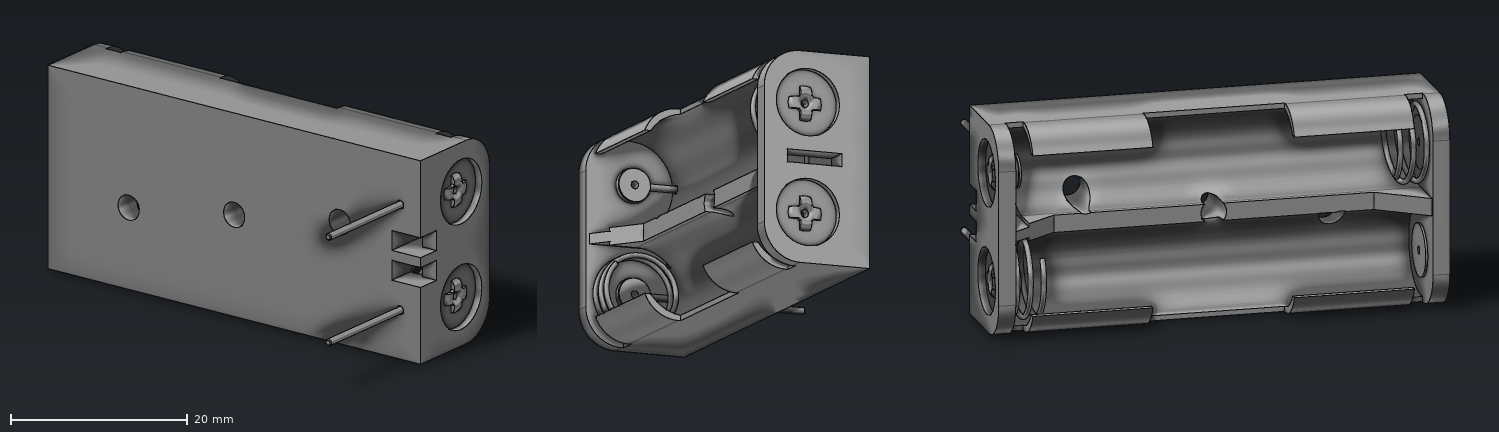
import cadquery as cq
import math


length = 52.98
depth = 13.04
width = 24.59
corner_radius = 4.4
end_wall = 2.0
wall_top = 8.35
half_length = length / 2
half_width = width / 2
bay_half_length = half_length - end_wall

cell_radius = 5.35
cell_y = 7.65
cell_z = 6.37
rib_half = cell_z - cell_radius
cell_signs = (1, -1)

claw_inner_x = 8.3
claw_outer_x = 22.4
claw_top = 12.75
corner_y = depth - corner_radius
corner_z = half_width - corner_radius
claw_tip_z = corner_z + math.sqrt(corner_radius**2 - (claw_top - corner_y)**2)

gusset_top = 12.6
gusset_length = 5.7

mount_hole_dia = 3.0
mount_hole_spacing = 15.0
mount_hole_z_step = 2.4
window_near_z = 0.6
window_far_z = 3.0
notch_depth = 3.0
slot_low_y = 3.45
slot_high_y = 10.2
slot_height = 1.5
slot_depth = 3.0
slot_bar_y = 6.5
slot_bar_radius = 0.28

recess_dia = 7.8
recess_depth = 0.9
shank_dia = 1.78
eyelet_hole_dia = 0.9
roll_mid_dia = 2.5
roll_radius = (roll_mid_dia - eyelet_hole_dia) / 2
roll_height = 0.5
roll_reach = roll_mid_dia / 2 + roll_radius
petal_width = 1.35
petal_root_radius = 1.15
flange_thickness = 0.25
spring_flange_radius = 3.1
pin_flange_radius = 1.95

pin_dia = 0.81
pin_hole_dia = 1.02
pin_x = 23.57
pin_reach = 13.58
pin_tip_chamfer = 0.12
pin_loop_mid_radius = 1.64

spring_wire_dia = 0.6
spring_mid_radius = 4.38
spring_pitch = 1.55
spring_base = 2.42
spring_start = 0.12
spring_end = 2.62
spring_riser_turn = 0.84
points_per_turn = 20


def block(x_range, y_range, z_range):
    """Box given by its limits along each axis."""
    lows, highs = zip(x_range, y_range, z_range)
    sizes = [high - low for low, high in zip(lows, highs)]
    return cq.Workplane("XY").box(*sizes, centered=False).translate(lows)


def rod(start_x, end_x, radius, y, z):
    """Cylinder parallel to X."""
    return cq.Workplane("YZ", origin=(start_x, y, z)).circle(radius).extrude(end_x - start_x)


def drill(x, z, diameter, y_end):
    """Cylinder from the mounting face to y_end."""
    return cq.Workplane("XZ", origin=(x, 0, z)).circle(diameter / 2).extrude(-y_end)


def shell_blank():
    body = block((-half_length, half_length), (0, depth), (-half_width, half_width))
    return body.edges("|X and >Y").fillet(corner_radius)


def cut_cell_bays(body):
    """Round beds with an open mouth, leaving claws that curl over the cells."""
    bay = (-bay_half_length, bay_half_length)
    for sign in cell_signs:
        body = body.cut(rod(*bay, cell_radius, cell_y, sign * cell_z))
        mouth_z = sorted((sign * rib_half, sign * claw_tip_z))
        body = body.cut(block(bay, (cell_y, depth), mouth_z))
    body = body.cut(block(bay, (wall_top, depth), (-rib_half, rib_half)))

    full_width = (-half_width, half_width)
    above_wall = (wall_top, depth)
    body = body.cut(block((-claw_inner_x, claw_inner_x), above_wall, full_width))
    body = body.cut(block((claw_outer_x, bay_half_length), above_wall, full_width))
    return body.cut(block((-bay_half_length, -claw_outer_x), above_wall, full_width))


def gusset(sign):
    wall_x = sign * bay_half_length
    foot_x = sign * (bay_half_length - gusset_length)
    outline = [(wall_x, wall_top), (wall_x, gusset_top), (foot_x, wall_top)]
    return cq.Workplane("XY", origin=(0, 0, -rib_half)).polyline(outline).close().extrude(2 * rib_half)


def cut_windows(body):
    """Pair of windows beside the rib, running out through the +X end wall as notches."""
    for sign in cell_signs:
        z_range = sorted((sign * window_near_z, sign * window_far_z))
        body = body.cut(block((claw_outer_x, bay_half_length), (0, depth), z_range))
        body = body.cut(block((bay_half_length, half_length), (0, notch_depth), z_range))
    return body


def cut_end_slot(body):
    """Slot in the -X end with a half-round bar across its floor."""
    floor_x = -half_length + slot_depth
    z_range = (-slot_height / 2, slot_height / 2)
    slot = block((-half_length, floor_x), (slot_low_y, slot_high_y), z_range)
    bar = cq.Workplane("XY", origin=(floor_x, slot_bar_y, -slot_height / 2))
    return body.cut(slot.cut(bar.circle(slot_bar_radius).extrude(slot_height)))


def make_housing():
    body = cut_cell_bays(shell_blank())
    body = body.union(gusset(1)).union(gusset(-1))
    body = cut_end_slot(cut_windows(body))
    for step in (-1, 0, 1):
        body = body.cut(drill(step * mount_hole_spacing, step * mount_hole_z_step, mount_hole_dia, depth))
    for sign in cell_signs:
        z = sign * cell_z
        body = body.cut(drill(pin_x, z, pin_hole_dia, cell_y))
        body = body.cut(rod(-half_length, half_length, shank_dia / 2, cell_y, z))
        body = body.cut(rod(-half_length, -half_length + recess_depth, recess_dia / 2, cell_y, z))
        body = body.cut(rod(half_length - recess_depth, half_length, recess_dia / 2, cell_y, z))
    return body


def make_rivet(flange_radius, flange_start):
    """Hollow rivet on the X axis: outer end face at X = 0, shank toward +X, flange at flange_start."""
    flange_end = flange_start + flange_thickness
    roll = cq.Workplane("XY").moveTo(recess_depth, roll_mid_dia / 2 - roll_radius)
    roll = roll.threePointArc((recess_depth - roll_height, roll_mid_dia / 2), (recess_depth, roll_reach))
    roll = roll.close().revolve(360, (0, 0, 0), (1, 0, 0))

    petals = rod(0, recess_depth, petal_root_radius, 0, 0)
    arm = cq.Workplane("YZ").rect(2 * recess_dia, petal_width).extrude(recess_depth)
    petals = petals.union(arm).union(arm.rotate((0, 0, 0), (1, 0, 0), 90))

    rivet = roll.intersect(petals)
    rivet = rivet.union(rod(recess_depth, flange_end, shank_dia / 2, 0, 0))
    rivet = rivet.union(rod(flange_start, flange_end, flange_radius, 0, 0))
    return rivet.cut(rod(0, flange_end, eyelet_hole_dia / 2, 0, 0))


def make_pin(z):
    """Straight wire leg ending in a loop around the rivet shank."""
    loop_bottom = cell_y - pin_loop_mid_radius
    leg = cq.Workplane("XZ", origin=(pin_x, -pin_reach, z)).circle(pin_dia / 2)
    leg = leg.extrude(-(pin_reach + loop_bottom)).faces("<Y").chamfer(pin_tip_chamfer)
    loop = cq.Solid.makeTorus(
        pin_loop_mid_radius, pin_dia / 2, cq.Vector(pin_x, cell_y, z), cq.Vector(1, 0, 0)
    )
    return leg.union(cq.Workplane(obj=loop))


def spring_point(turn):
    """Wire centre on a coil about the X axis whose turns lie nearly flat between steps."""
    angle = 2 * math.pi * turn
    phase = turn - spring_riser_turn + 0.5
    rise = phase - math.sin(2 * math.pi * phase) / (2 * math.pi)
    return (
        spring_base + spring_pitch * rise,
        -spring_mid_radius * math.cos(angle),
        spring_mid_radius * math.sin(angle),
    )


def make_spring():
    """Coil spring with the outer end face of the holder at X = 0."""
    steps = round((spring_end - spring_start) * points_per_turn)
    turns = [spring_start + index / points_per_turn for index in range(steps + 1)]
    path = cq.Workplane("XY").spline([spring_point(turn) for turn in turns])
    start = path.val().startPoint()
    plane = cq.Plane(origin=start.toTuple(), normal=path.val().tangentAt(0).toTuple())
    return cq.Workplane(plane).circle(spring_wire_dia / 2).sweep(path, isFrenet=True)


def place(body, end, z):
    """Move a body modelled from X = 0 to one end of a cell; end is -1 for -X and 1 for +X."""
    if end > 0:
        body = body.rotate((0, 0, 0), (0, 1, 0), 180)
    return body.translate((end * half_length, cell_y, z))


housing = make_housing()
rivet_layouts = (
    (-1, spring_flange_radius, end_wall),
    (1, pin_flange_radius, half_length - pin_x + pin_dia / 2),
)
rivets = []
pins = []
springs = []
for sign in cell_signs:
    for end, flange_radius, flange_start in rivet_layouts:
        rivets.append(place(make_rivet(flange_radius, flange_start), end, sign * cell_z))
    pins.append(make_pin(sign * cell_z))
    springs.append(place(make_spring(), -sign, sign * cell_z))

bodies = [housing, *rivets, *pins, *springs]
result = cq.Compound.makeCompound([body.val() for body in bodies])